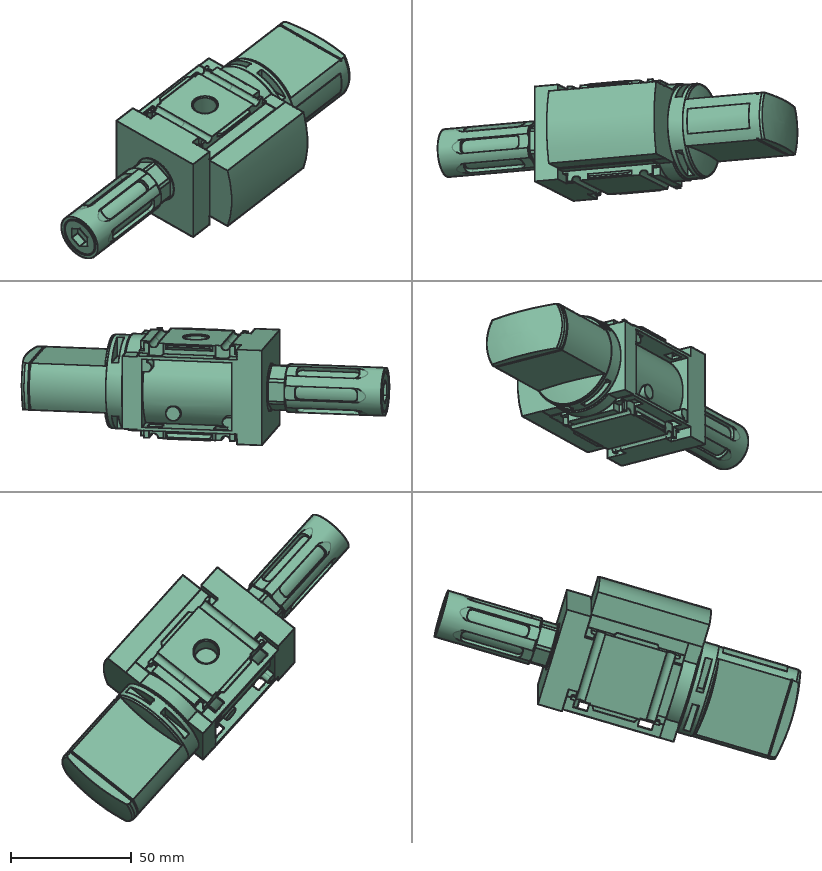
import cadquery as cq
import math

BODY_LEFT = -21.2
BODY_RIGHT = 20.6
BODY_HEIGHT = 40.2
BODY_LENGTH = 58.7
TOTAL_LENGTH = 151.7
SILENCER_LENGTH = 48.1
KNOB_END = TOTAL_LENGTH - SILENCER_LENGTH

MODULE_CENTER = 31.5
PAD_LENGTH = 42.2
PAD_WIDTH = 30.5
PAD_FRONT = MODULE_CENTER - PAD_LENGTH / 2
PAD_REAR = MODULE_CENTER + PAD_LENGTH / 2
SIDE_PLATE_HEIGHT = 31.5
REAR_PLATE_HEIGHT = 30.8
COLLAR_DIAMETER = BODY_HEIGHT
CORE_DIAMETER = 37.5

WINDOW_LENGTH = 38.0
WINDOW_HEIGHT = 28.8
STOP_DIAMETER = 4.1
STOP_HEIGHT = 11.0
STOP_FACE = -20.8
PIN_DIAMETER = 6.0
PIN_FACE = -18.8
PIN_Y = 37.8
PIN_Z = -8.6

GROOVE_DIAMETER = 3.8
GROOVE_SPACING = 30.3
CLIP_HOLE_LENGTH = 6.0
CLIP_HOLE_WIDTH = 4.4
CLIP_HOLE_OUTER = -19.1
CLIP_HOLE_END = 17.0
PORT_DIAMETER = 9.9
PORT_RIM_DIAMETER = 10.9
PORT_DEPTH = 9.1
NOTCH_SIZE = 3.8
NOTCH_FLOOR = 16.7
NOTCH_POST_X = 1.4
NOTCH_POST_Y = 1.8
NOTCH_POST_FILLET = 0.8
TAB_REACH = 1.8
TAB_LENGTH = 19.7
TAB_TAPER = 1.0
TAB_TOP = 19.9
TAB_LIP = 19.1
TAB_ROOT = 17.7

COVER_FLAT = 30.5
COVER_CROWN = 32.8
COVER_HEIGHT = 30.6

KNOB_DIAMETER = 38.8
KNOB_THICKNESS = 19.9
KNOB_DOME_SAG = 2.1
KNOB_RIM_DROP = 1.0
KNOB_RIM_ROUND = 0.5
RING_DIAMETER = 39.1
RING_NECK_DIAMETER = 36.4
RING_FRONT = 59.3
RING_SHOULDER = 66.0
RING_DOME_START = 66.9
RING_DOME_DIAMETER = 38.2
RING_DOME_TOP = 68.7
RING_SLOT_FRONT = 61.3
RING_SLOT_WIDTH = 2.9
RING_SLOT_INNER = 2.9
RING_SLOT_OUTER = 16.0
CAP_GROOVE_Y = 98.1
CAP_GROOVE_WIDTH = 0.6
CAP_GROOVE_DEPTH = 0.6
CAP_GROOVE_SIDE = -16.5
STRIP_WIDTH = 10.6
STRIP_FRONT = 68.0
STRIP_LENGTH = 27.8
STRIP_RAISE = 0.2

SILENCER_DIAMETER = 20.0
SLOT_COUNT = 6
NECK_LENGTH = 7.3
NECK_FLATS = 17.0
NECK_CORNERS = 18.8
NECK_GAP = 0.5
SHANK_DIAMETER = 13.2
NECK_SEAT_DIAMETER = SILENCER_DIAMETER
NECK_SEAT_DEPTH = 0.5
SLEEVE_CHAMFER_LENGTH = 0.6
SLEEVE_CHAMFER_DEPTH = 0.3
FLAT_RADIUS = 9.5
FLAT_END = 38.1
RUNOUT_END = 41.5
POCKET_START = 11.7
POCKET_WIDTH = 5.9
POCKET_FILLET = 2.1
POCKET_FLOOR_DIAMETER = 16.1
PLUG_DIAMETER = 17.0
PLUG_GROOVE_WIDTH = 0.3
PLUG_GROOVE_DEPTH = 0.5
SOCKET_CORNERS = 9.7
SOCKET_DEPTH = 3.8


def block(x_range, y_range, z_range):
    """Box between the given limits."""
    return (
        cq.Workplane("XY")
        .box(
            x_range[1] - x_range[0],
            y_range[1] - y_range[0],
            z_range[1] - z_range[0],
            centered=False,
        )
        .translate((x_range[0], y_range[0], z_range[0]))
    )


def cylinder_y(diameter, y_start, y_end):
    """Cylinder on the Y axis."""
    return cq.Workplane("XZ", origin=(0, y_end, 0)).circle(diameter / 2).extrude(y_end - y_start)


def hexagon_y(corners, y_start, y_end):
    """Hexagonal bar on the Y axis with flats facing +X and -X."""
    bar = cq.Workplane("XZ", origin=(0, y_end, 0)).polygon(SLOT_COUNT, corners)
    return bar.extrude(y_end - y_start).rotate((0, 0, 0), (0, 1, 0), 30)


def with_bottom(shape):
    """The shape together with its mirror image below Z = 0."""
    return shape.union(shape.mirror("XY"))


def pad_notches():
    """Square corner notches in the top pad, each keeping a rounded corner post."""
    notch = block((0, NOTCH_SIZE), (-NOTCH_SIZE, 0), (NOTCH_FLOOR, BODY_HEIGHT))
    post = block(
        (0, NOTCH_POST_X),
        (-NOTCH_SIZE, NOTCH_POST_Y - NOTCH_SIZE),
        (NOTCH_FLOOR, BODY_HEIGHT),
    )
    post = post.edges("|Z and >X and >Y").fillet(NOTCH_POST_FILLET)
    notch = notch.cut(post).translate((-PAD_WIDTH / 2, PAD_LENGTH / 2, 0))
    left = notch.union(notch.mirror("XZ"))
    return left.union(left.mirror("YZ")).translate((0, MODULE_CENTER, 0))


def pad_tabs():
    """Overhanging tabs on both sides of the top pad, with tapered ends."""
    inner = PAD_WIDTH / 2
    outer = inner + TAB_REACH
    wedge = (
        cq.Workplane("XZ")
        .polyline([(inner, TAB_TOP), (outer, TAB_TOP), (outer, TAB_LIP), (inner, TAB_ROOT)])
        .close()
        .extrude(TAB_LENGTH / 2, both=True)
    )
    outline = (
        cq.Workplane("XY")
        .polyline(
            [
                (inner, -TAB_LENGTH / 2),
                (outer, -TAB_LENGTH / 2 + TAB_TAPER),
                (outer, TAB_LENGTH / 2 - TAB_TAPER),
                (inner, TAB_LENGTH / 2),
            ]
        )
        .close()
        .extrude(BODY_HEIGHT)
    )
    tab = wedge.intersect(outline)
    return tab.union(tab.mirror("YZ")).translate((0, MODULE_CENTER, 0))


def pad_grooves():
    """Two half-round grooves across the top pad."""
    return (
        cq.Workplane("YZ", origin=(0, MODULE_CENTER, BODY_HEIGHT / 2))
        .pushPoints([(-GROOVE_SPACING / 2, 0), (GROOVE_SPACING / 2, 0)])
        .circle(GROOVE_DIAMETER / 2)
        .extrude(PAD_WIDTH, both=True)
    )


def clip_holes():
    """Rectangular holes through the side plates at the -X ends of the grooves."""
    hole = block(
        (CLIP_HOLE_OUTER, CLIP_HOLE_OUTER + CLIP_HOLE_WIDTH),
        (CLIP_HOLE_END - CLIP_HOLE_LENGTH, CLIP_HOLE_END),
        (-BODY_HEIGHT, BODY_HEIGHT),
    )
    return hole.union(hole.mirror("XZ")).translate((0, MODULE_CENTER, 0))


def port():
    """Round port in the top pad with a countersunk rim."""
    rim = (PORT_RIM_DIAMETER - PORT_DIAMETER) / 2
    top = cq.Workplane("XY", origin=(0, MODULE_CENTER, BODY_HEIGHT / 2))
    bore = top.circle(PORT_DIAMETER / 2).extrude(-PORT_DEPTH)
    countersink = top.circle(PORT_RIM_DIAMETER / 2).extrude(-rim, taper=45)
    return bore.union(countersink)


def window_stops():
    """Two round-ended stops on opposite end walls of the side window."""
    wall = WINDOW_LENGTH / 2
    stop_y = CLIP_HOLE_END
    stop_radius = STOP_DIAMETER / 2
    web = block((STOP_FACE, 0), (stop_y, wall), (STOP_HEIGHT - stop_radius, WINDOW_HEIGHT / 2))
    round_end = (
        cq.Workplane("YZ", origin=(STOP_FACE, 0, 0))
        .center(stop_y, STOP_HEIGHT)
        .circle(stop_radius)
        .extrude(-STOP_FACE)
    )
    stop = web.union(round_end)
    opposite = stop.rotate((0, 0, 0), (1, 0, 0), 180)
    return stop.union(opposite).translate((0, MODULE_CENTER, 0))


def window_pin():
    """Round pin standing out of the core inside the window."""
    return (
        cq.Workplane("YZ", origin=(PIN_FACE, PIN_Y, PIN_Z))
        .circle(PIN_DIAMETER / 2)
        .extrude(-PIN_FACE)
    )


def cover():
    """Bulged cover on the +X side."""
    half = COVER_HEIGHT / 2
    return (
        cq.Workplane("XZ", origin=(0, BODY_LENGTH, 0))
        .moveTo(0, -half)
        .lineTo(COVER_FLAT, -half)
        .threePointArc((COVER_CROWN, 0), (COVER_FLAT, half))
        .lineTo(0, half)
        .close()
        .extrude(BODY_LENGTH - PAD_FRONT)
    )


def frame():
    """Rectangular valve frame with its pads, window and core."""
    half_height = BODY_HEIGHT / 2
    side_half = SIDE_PLATE_HEIGHT / 2
    rear_half = REAR_PLATE_HEIGHT / 2
    x_full = (BODY_LEFT, BODY_RIGHT)
    pad_y = (PAD_FRONT, PAD_REAR)

    shape = block(x_full, (0, PAD_FRONT), (-half_height, half_height))
    shape = shape.union(block(x_full, pad_y, (-side_half, side_half)))
    shape = shape.union(block((-PAD_WIDTH / 2, PAD_WIDTH / 2), pad_y, (-half_height, half_height)))
    shape = shape.cut(with_bottom(pad_notches()))
    shape = shape.union(with_bottom(pad_tabs()))
    shape = shape.union(block(x_full, (PAD_REAR, BODY_LENGTH), (-rear_half, rear_half)))
    shape = shape.union(cylinder_y(COLLAR_DIAMETER, PAD_REAR, BODY_LENGTH))
    shape = shape.union(cover())

    window = block(
        (BODY_LEFT, 0),
        (MODULE_CENTER - WINDOW_LENGTH / 2, MODULE_CENTER + WINDOW_LENGTH / 2),
        (-WINDOW_HEIGHT / 2, WINDOW_HEIGHT / 2),
    )
    shape = shape.cut(window).cut(clip_holes())
    shape = shape.union(cylinder_y(CORE_DIAMETER, PAD_FRONT, PAD_REAR))
    shape = shape.union(window_stops()).union(window_pin())
    shape = shape.cut(with_bottom(pad_grooves())).cut(port())
    return shape.cut(cylinder_y(NECK_SEAT_DIAMETER, -NECK_SEAT_DEPTH, NECK_SEAT_DEPTH))


def knob_ring():
    """Turned ring at the root of the knob, with two flat-bottomed slots above and below."""
    radius = RING_DIAMETER / 2
    dome_radius = RING_DOME_DIAMETER / 2
    dome_mid = RING_DOME_TOP - (RING_DOME_TOP - RING_DOME_START) / 4
    ring = (
        cq.Workplane("XY")
        .moveTo(0, BODY_LENGTH)
        .lineTo(RING_NECK_DIAMETER / 2, BODY_LENGTH)
        .lineTo(RING_NECK_DIAMETER / 2, RING_FRONT)
        .lineTo(radius, RING_FRONT)
        .lineTo(radius, RING_SHOULDER)
        .lineTo(KNOB_DIAMETER / 2, RING_SHOULDER)
        .lineTo(dome_radius, RING_DOME_START)
        .threePointArc((dome_radius / 2, dome_mid), (0, RING_DOME_TOP))
        .close()
        .revolve(360, (0, 0, 0), (0, 1, 0))
    )
    slot_floor = math.sqrt(radius**2 - RING_SLOT_OUTER**2)
    slot = block(
        (RING_SLOT_INNER, RING_SLOT_OUTER),
        (RING_SLOT_FRONT, RING_SLOT_FRONT + RING_SLOT_WIDTH),
        (slot_floor, BODY_HEIGHT),
    )
    return ring.cut(with_bottom(slot.union(slot.mirror("YZ"))))


def knob_grip():
    """Flat-sided grip with a domed end and a groove below the cap."""
    radius = KNOB_DIAMETER / 2
    half = KNOB_THICKNESS / 2
    rim_y = KNOB_END - KNOB_DOME_SAG
    side_top = rim_y - KNOB_RIM_DROP
    dome_mid = KNOB_END - KNOB_DOME_SAG / 4
    rim_radius = radius - KNOB_RIM_ROUND
    turned = (
        cq.Workplane("XY")
        .moveTo(0, RING_FRONT)
        .lineTo(radius, RING_FRONT)
        .lineTo(radius, side_top)
        .lineTo(rim_radius, rim_y)
        .threePointArc((rim_radius / 2, dome_mid), (0, KNOB_END))
        .close()
        .revolve(360, (0, 0, 0), (0, 1, 0))
    )
    strip = cylinder_y(KNOB_DIAMETER + 2 * STRIP_RAISE, STRIP_FRONT, STRIP_FRONT + STRIP_LENGTH)
    strip_limits = block(
        (0, KNOB_DIAMETER), (0, TOTAL_LENGTH), (-STRIP_WIDTH / 2, STRIP_WIDTH / 2)
    )
    turned = turned.union(strip.intersect(strip_limits))
    grip = turned.intersect(
        block((-KNOB_DIAMETER, KNOB_DIAMETER), (0, TOTAL_LENGTH), (-half, half))
    )
    groove_y = (CAP_GROOVE_Y, CAP_GROOVE_Y + CAP_GROOVE_WIDTH)
    groove = block((-KNOB_DIAMETER, KNOB_DIAMETER), groove_y, (-KNOB_THICKNESS, KNOB_THICKNESS))
    neck_half = half - CAP_GROOVE_DEPTH
    neck = block((CAP_GROOVE_SIDE, KNOB_DIAMETER), groove_y, (-neck_half, neck_half))
    return grip.cut(groove.cut(neck))


def make_valve():
    """Valve housing with its cover and knob as one body."""
    return frame().union(knob_ring()).union(knob_grip())


def silencer_slot():
    """Cutter for one flat with its sloping runout, on the +X side."""
    outside = SILENCER_DIAMETER
    return (
        cq.Workplane("XY")
        .polyline(
            [
                (FLAT_RADIUS, -NECK_LENGTH),
                (outside, -NECK_LENGTH),
                (outside, -RUNOUT_END),
                (SILENCER_DIAMETER / 2, -RUNOUT_END),
                (FLAT_RADIUS, -FLAT_END),
            ]
        )
        .close()
        .extrude(POCKET_WIDTH, both=True)
    )


def silencer_pocket():
    """Cutter for one round-cornered pocket down to the core, on the +X side."""
    pocket = block(
        (0, SILENCER_DIAMETER),
        (-FLAT_END, -POCKET_START),
        (-POCKET_WIDTH / 2, POCKET_WIDTH / 2),
    )
    pocket = pocket.edges("|X").fillet(POCKET_FILLET)
    return pocket.cut(cylinder_y(POCKET_FLOOR_DIAMETER, -SILENCER_LENGTH, 0))


def make_silencer():
    """Screw-in silencer: hexagonal neck and slotted sleeve with a plug."""
    neck_corners = NECK_FLATS / math.cos(math.pi / SLOT_COUNT)
    neck = hexagon_y(neck_corners, -NECK_LENGTH, -NECK_GAP)
    neck = neck.intersect(cylinder_y(NECK_CORNERS, -NECK_LENGTH, -NECK_GAP))
    neck = neck.union(cylinder_y(SHANK_DIAMETER, -NECK_LENGTH, NECK_SEAT_DEPTH))

    sleeve = cylinder_y(SILENCER_DIAMETER, -SILENCER_LENGTH, -NECK_LENGTH)
    sleeve = sleeve.faces(">Y").chamfer(SLEEVE_CHAMFER_LENGTH, SLEEVE_CHAMFER_DEPTH)
    cutter = silencer_slot().union(silencer_pocket())
    for index in range(SLOT_COUNT):
        angle = index * 360 / SLOT_COUNT
        sleeve = sleeve.cut(cutter.rotate((0, 0, 0), (0, 1, 0), angle))

    plug_groove = cylinder_y(
        PLUG_DIAMETER, -SILENCER_LENGTH, -SILENCER_LENGTH + PLUG_GROOVE_DEPTH
    ).cut(
        cylinder_y(
            PLUG_DIAMETER - 2 * PLUG_GROOVE_WIDTH,
            -SILENCER_LENGTH,
            -SILENCER_LENGTH + PLUG_GROOVE_DEPTH,
        )
    )
    socket = hexagon_y(SOCKET_CORNERS, -SILENCER_LENGTH, -SILENCER_LENGTH + SOCKET_DEPTH)
    return neck.union(sleeve).cut(plug_groove).cut(socket)


valve = make_valve()
silencer = make_silencer()
result = cq.Compound.makeCompound([valve.val(), silencer.val()])